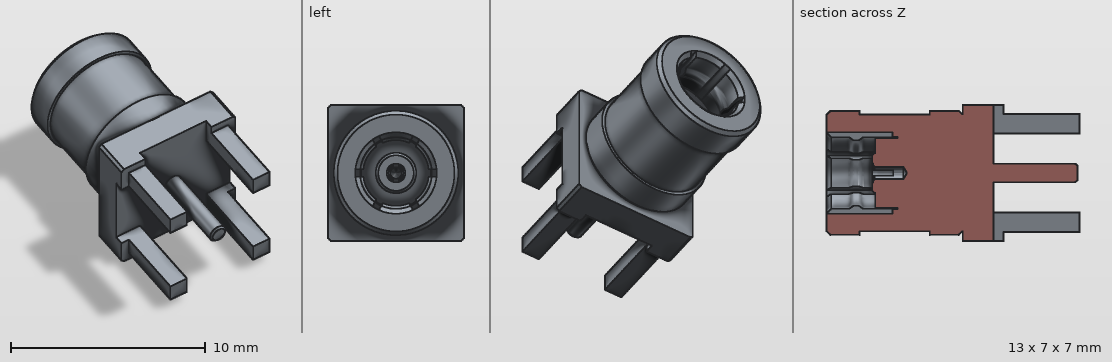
import cadquery as cq
import math

length = 13.0

flange_side = 7.0
flange_chamfer = 0.15
flange_start = 7.0
plate_end = 8.59
feet_end = 9.1

leg_side = 1.01
leg_center = 2.54
leg_inner = leg_center - leg_side / 2
contact_radius = 0.48
pin_end = 12.9
pin_chamfer = 0.1

band_radius = 3.2
neck_radius = 3.02
band_chamfer = 0.2
front_band_end = 1.7
rear_band_start = 5.3

mouth_radius = 2.09
bore_radius = 1.85
mouth_depth = mouth_radius - bore_radius
ridge_radius = 1.69
ridge_start = 1.17
ridge_ramp = 0.21
ridge_flat = 0.29
ridge_fillet = 0.17
ridge_flat_start = ridge_start + ridge_ramp
ridge_flat_end = ridge_flat_start + ridge_flat
ridge_end = ridge_flat_end + ridge_ramp
bore_depth = 3.64

slot_count = 6
slot_width = 0.38
slot_depth = 3.38

insulator_radius = 1.8
insulator_x = 2.5
boss_radius = 1.04
boss_chamfer = 0.13
boss_height = 0.15
boss_x = insulator_x - boss_height

socket_recess = 0.05
socket_x = boss_x + socket_recess
socket_radius = 0.3
socket_chamfer = 0.09
socket_depth = 1.56
socket_slot_width = 0.29
socket_slot_depth = 1.04
drill_tip_angle = 118.0
drill_tip_length = socket_radius / math.tan(math.radians(drill_tip_angle / 2))


def box(x_start, x_end, y_size, z_size, y=0.0, z=0.0):
    """Box between two X positions, centred on (y, z)."""
    return (
        cq.Workplane("YZ", origin=(x_start, y, z))
        .rect(y_size, z_size)
        .extrude(x_end - x_start)
    )


def cylinder(x_start, x_end, radius):
    """Cylinder on the X axis between two X positions."""
    return cq.Workplane("YZ", origin=(x_start, 0, 0)).circle(radius).extrude(x_end - x_start)


def revolve_about_x(points):
    """Solid of revolution from (x, radius) points."""
    return cq.Workplane("XY").polyline(points).close().revolve(360, (0, 0, 0), (1, 0, 0))


def corners():
    """Signs of Y and Z for the four corners."""
    return [(y_sign, z_sign) for y_sign in (-1, 1) for z_sign in (-1, 1)]


def make_barrel():
    bands = cylinder(0, flange_start, band_radius).edges().chamfer(band_chamfer)
    neck = cylinder(front_band_end, rear_band_start, neck_radius)
    groove = cylinder(front_band_end, rear_band_start, band_radius).cut(neck)
    return bands.cut(groove)


def make_flange():
    flange = box(flange_start, feet_end, flange_side, flange_side).edges("|X").chamfer(flange_chamfer)
    gap = 2 * leg_inner
    flange = flange.cut(box(plate_end, feet_end, flange_side, gap))
    return flange.cut(box(plate_end, feet_end, gap, flange_side))


def make_legs():
    legs = cq.Workplane("YZ")
    for y_sign, z_sign in corners():
        legs = legs.union(
            box(plate_end, length, leg_side, leg_side, y_sign * leg_center, z_sign * leg_center)
        )
    return legs


def make_rear_pin():
    return cylinder(flange_start, pin_end, contact_radius).faces(">X").chamfer(pin_chamfer)


def make_bore():
    """Bore cavity with its ridge relief, including the gaps between the spring fingers."""
    bore = revolve_about_x(
        [
            (0, 0),
            (0, mouth_radius),
            (mouth_depth, bore_radius),
            (ridge_start, bore_radius),
            (ridge_flat_start, ridge_radius),
            (ridge_flat_end, ridge_radius),
            (ridge_end, bore_radius),
            (bore_depth, bore_radius),
            (bore_depth, 0),
        ]
    )
    ridge_zone = cq.selectors.BoxSelector(
        (mouth_depth + ridge_fillet, -mouth_radius, -mouth_radius),
        (ridge_end + ridge_fillet, mouth_radius, mouth_radius),
    )
    bore = bore.edges("%CIRCLE").edges(ridge_zone).fillet(ridge_fillet)
    return bore.union(make_finger_slots())


def make_finger_slots():
    """Slots across the full mouth diameter, so each one cuts two opposite gaps."""
    slots = cq.Workplane("YZ")
    for index in range(slot_count // 2):
        slot = box(0, slot_depth, 2 * band_radius, slot_width)
        slots = slots.union(slot.rotate((0, 0, 0), (1, 0, 0), index * 360 / slot_count))
    return slots.intersect(cylinder(0, slot_depth, mouth_radius))


def make_insulator():
    boss = cylinder(boss_x, bore_depth, boss_radius).faces("<X").chamfer(boss_chamfer)
    return cylinder(insulator_x, bore_depth, insulator_radius).union(boss)


def make_socket():
    recess = cylinder(boss_x, socket_x, contact_radius)
    hole_end = socket_x + socket_depth
    hole = revolve_about_x(
        [
            (socket_x, 0),
            (socket_x, socket_radius + socket_chamfer),
            (socket_x + socket_chamfer, socket_radius),
            (hole_end, socket_radius),
            (hole_end + drill_tip_length, 0),
        ]
    )
    slot = box(socket_x, socket_x + socket_slot_depth, socket_slot_width, 2 * contact_radius)
    slot = slot.intersect(cylinder(socket_x, socket_x + socket_slot_depth, contact_radius))
    return recess.union(hole).union(slot)


body = make_barrel().union(make_flange()).union(make_legs()).union(make_rear_pin())
result = body.cut(make_bore()).union(make_insulator()).cut(make_socket())